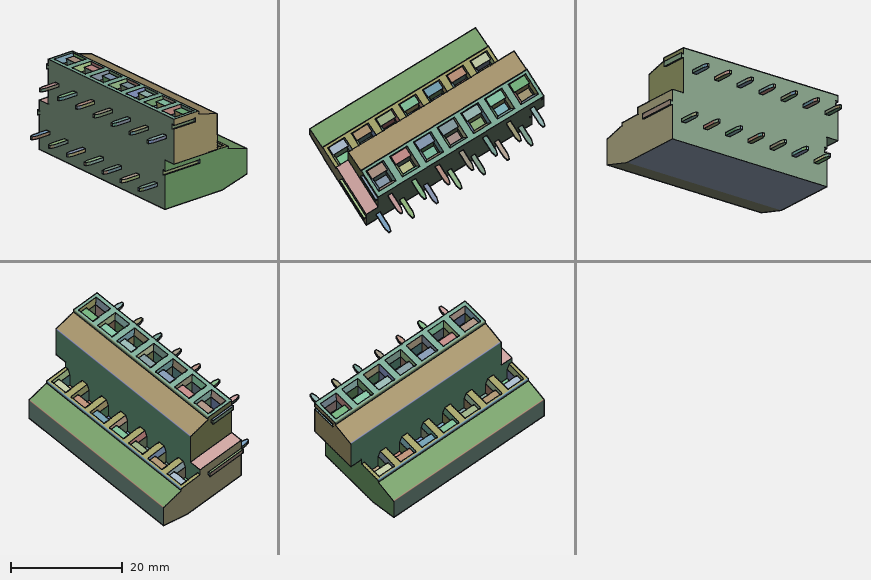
import cadquery as cq
import math


total_length = 38.0
terminal_count = 7
row_length = 35.0
pitch = row_length / terminal_count
tier_shift_x = pitch / 2
tier_shift_y = 9.05
tier_shift_z = 10.2

total_height = 18.5
upper_depth = 10.2
lower_depth = upper_depth + tier_shift_y
split_height = 9.7
lower_height = 8.35
land_depth = 5.8
land_step = 0.6
slope_angle = 15
slope = math.tan(math.radians(slope_angle))
roof_drop = (upper_depth - land_depth) * slope
bottom_bevel_height = 1.55
lower_land_angle = 1.4
lower_land_tilt = math.tan(math.radians(lower_land_angle))
edge_radius = 0.2

pocket_width = 3.7
pocket_start = 0.85
pocket_length = 4.37
pocket_end = pocket_start + pocket_length
pocket_depth = 4.0
lip_depth = 1.18
lip_side_inset = 0.5
lip_front_inset = 0.6
upper_ledge_length = 1.75
lower_ledge_length = 1.6
ledge_depth = lip_depth / 2

pin_width = 0.9
pin_thickness = 0.6
pin_length = 4.0
pin_tip_length = 0.9
pin_tip_width = 0.4
pin_height = 4.18

rail_projection = total_length - row_length - tier_shift_x
rail_width = 1.0
rail_root_width = 0.7
upper_rail_height = 16.9
upper_rail_length = 5.1
lower_rail_height = 7.1
lower_rail_length = 8.2

overlap = 0.38


def extrude_along_x(points, start, length):
    """Extrude a (Y, Z) outline from X = start towards +X."""
    return cq.Workplane("YZ", origin=(start, 0, 0)).polyline(points).close().extrude(length)


def round_edges(tier, edge_points):
    """Round the edges along X that pass through the given (Y, Z) points."""
    middle = (row_length + tier_shift_x) / 2
    for y, z in edge_points:
        tier = tier.edges(cq.selectors.NearestToPointSelector((middle, y, z))).fillet(edge_radius)
    return tier


def lower_tier():
    """Housing of the lower terminals; its land falls gently away from the upper tier."""
    land_end = land_depth + tier_shift_y
    land_end_height = lower_height - (land_end - upper_depth) * lower_land_tilt
    roof_start = total_height - tier_shift_z - land_step
    roof_end = roof_start - roof_drop
    points = [
        (0, 0),
        (lower_depth - bottom_bevel_height / slope, 0),
        (lower_depth, bottom_bevel_height),
        (lower_depth, roof_end),
        (land_end, roof_start),
        (land_end, land_end_height),
        (upper_depth, lower_height),
        (upper_depth, split_height),
        (0, split_height),
    ]
    tier = extrude_along_x(points, 0, row_length)
    return round_edges(tier, [(lower_depth, roof_end), (land_end, land_end_height)])


def upper_tier():
    """Housing of the upper terminals, standing on the front of the lower tier."""
    roof_start = total_height - land_step
    roof_end = roof_start - roof_drop
    points = [
        (0, split_height),
        (upper_depth, split_height),
        (upper_depth, roof_end),
        (land_depth, roof_start),
        (land_depth, total_height),
        (0, total_height),
    ]
    tier = extrude_along_x(points, tier_shift_x, row_length)
    return round_edges(tier, [(upper_depth, roof_end), (land_depth, total_height)])


def rectangle(half_width, start, end):
    """Corners of a rectangle centred on X = 0, given by its limits in Y."""
    return [(-half_width, start), (half_width, start), (half_width, end), (-half_width, end)]


def box_between(half_width, start, end, bottom, top):
    """Box centred on X = 0, given by its limits in Y and Z."""
    outline = rectangle(half_width, start, end)
    return cq.Workplane("XY", origin=(0, 0, bottom)).polyline(outline).close().extrude(top - bottom)


def pocket(start, end, ledge_length, ledge_angle):
    """Pocket centred on X = 0 with its opening at Z = 0: tapered lip, deep shaft and ledge."""
    top_half = pocket_width / 2
    shaft_half = top_half - lip_side_inset
    shaft_start = start + lip_front_inset
    lip = (
        cq.Workplane("XY")
        .polyline(rectangle(top_half, start, end))
        .close()
        .workplane(offset=-lip_depth)
        .polyline(rectangle(shaft_half, shaft_start, end))
        .close()
        .loft(ruled=True)
    )
    shaft = box_between(shaft_half, shaft_start, end, -pocket_depth, -lip_depth)
    ledge = (
        box_between(top_half, 0, ledge_length + overlap, -pocket_depth, 0)
        .rotate((0, 0, 0), (1, 0, 0), -ledge_angle)
        .translate((0, end - ledge_length, -ledge_depth))
    )
    return lip.union(shaft).cut(ledge)


def upper_pocket():
    return pocket(pocket_start, pocket_end, upper_ledge_length, 0).translate((0, 0, total_height))


def lower_pocket():
    """Pocket with a ledge parallel to the tilted land, cut off by the wall of the upper tier."""
    start = upper_depth - lip_front_inset
    end = pocket_end + tier_shift_y
    full_pocket = pocket(start, end, lower_ledge_length, lower_land_angle)
    behind_upper_tier = box_between(pocket_width, upper_depth, lower_depth, -total_height, total_height)
    return full_pocket.intersect(behind_upper_tier).translate((0, 0, lower_height))


def pin():
    """Pin centred on X = 0 and Z = 0, pointing to -Y."""
    half = pin_width / 2
    tip = pin_tip_width / 2
    shoulder = pin_tip_length - pin_length
    return (
        cq.Workplane("XY", origin=(0, 0, -pin_thickness / 2))
        .polyline(
            [
                (-half, overlap),
                (-half, shoulder),
                (-tip, -pin_length),
                (tip, -pin_length),
                (half, shoulder),
                (half, overlap),
            ]
        )
        .close()
        .extrude(pin_thickness)
    )


def dovetail(face_x, height, length):
    """Rail that widens away from the face at X = face_x."""
    outer = face_x - rail_projection
    return (
        cq.Workplane("XZ")
        .polyline(
            [
                (face_x, height - rail_root_width / 2),
                (outer, height - rail_width / 2),
                (outer, height + rail_width / 2),
                (face_x, height + rail_root_width / 2),
            ]
        )
        .close()
        .extrude(-length)
    )


def terminal_x(index):
    return (index + 0.5) * pitch


result = lower_tier().union(upper_tier())

for i in range(terminal_count):
    x = terminal_x(i)
    result = result.cut(lower_pocket().translate((x, 0, 0)))
    result = result.cut(upper_pocket().translate((x + tier_shift_x, 0, 0)))
    result = result.union(pin().translate((x, 0, pin_height)))
    result = result.union(pin().translate((x + tier_shift_x, 0, pin_height + tier_shift_z)))

for face_x, height, length in [
    (0, lower_rail_height, lower_rail_length),
    (tier_shift_x, upper_rail_height, upper_rail_length),
]:
    result = result.union(dovetail(face_x, height, length))
    result = result.cut(dovetail(face_x + row_length, height, length))